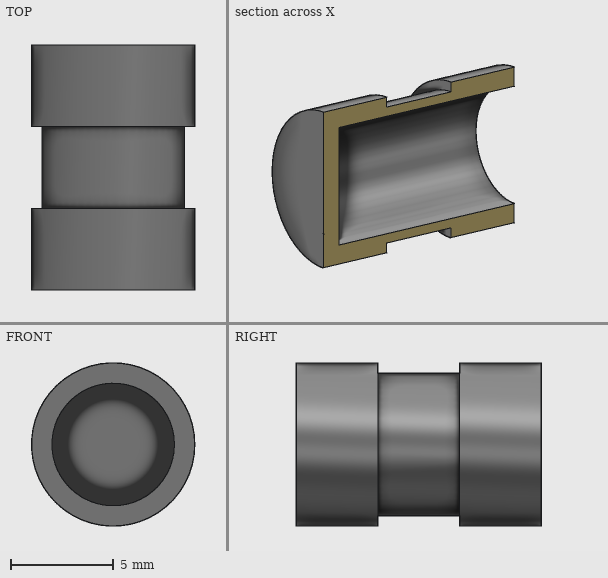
import cadquery as cq

outer_diameter = 8.0
waist_diameter = 7.0
bore_diameter = 6.0
collar_length = 4.0
waist_length = 4.0

total_length = 2 * collar_length + waist_length
wall_thickness = (outer_diameter - bore_diameter) / 2
end_wall_thickness = wall_thickness
bore_depth = total_length - end_wall_thickness
front_y = -total_length / 2


def cylinder_along_y(diameter, start_y, length):
    """Solid cylinder on the Y axis, running towards +Y from start_y."""
    base = cq.Workplane("XZ", origin=(0, start_y, 0))
    return base.circle(diameter / 2).extrude(-length)


def make_body():
    """Two end collars joined by a narrower waist."""
    body = cylinder_along_y(waist_diameter, front_y, total_length)
    for collar_start in (front_y, front_y + collar_length + waist_length):
        body = body.union(cylinder_along_y(outer_diameter, collar_start, collar_length))
    return body


bore = cylinder_along_y(bore_diameter, front_y, bore_depth)

result = make_body().cut(bore)